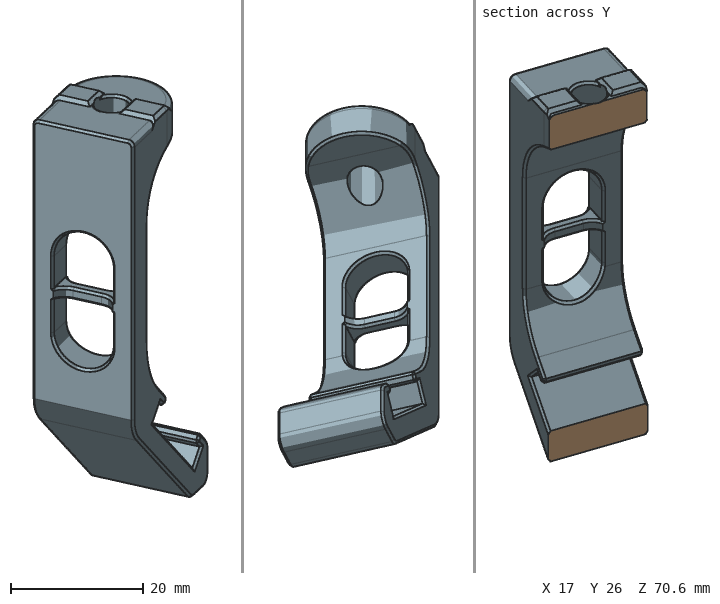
import cadquery as cq
import math

WIDTH = 17.0
REACH = 26.0
TOTAL_HEIGHT = 70.6
RIDGE_HEIGHT = 0.6
TOP = TOTAL_HEIGHT - RIDGE_HEIGHT
EDGE = 0.4
PICK_MARGIN = 0.1

HEAD_LENGTH = 20.0
HEAD_THICKNESS = 6.0
HEAD_RADIUS = WIDTH / 2
HEAD_CENTRE_Y = HEAD_LENGTH - HEAD_RADIUS
TOP_FILLET = 1.0
UPPER_ARC_RADIUS = 10.0
HEAD_DEPTH = HEAD_THICKNESS + UPPER_ARC_RADIUS

ARM_THICKNESS = 5.0
LOWER_ARC_RADIUS = 14.0

LEG_DROP = 49.85
LEG_START_Z = TOP - LEG_DROP
OUTER_BEND_RADIUS = 6.0
HOOK_RADIUS = 2.0
GROOVE_FLOOR = 4.0
LIP_INSIDE = 7.5
LIP_OUTSIDE = 9.1

GROOVE_CENTRE = 15.8
GROOVE_LENGTH = 20.2
LIP_LENGTH = 2.0

RIDGE_Y = 10.0
RIDGE_TOP_WIDTH = 3.8
RIDGE_GAP = 5.0
HOLE_DIAMETER = 5.4

SLOT_WIDTH = 10.0
SLOT_HEIGHT = 23.0
SLOT_DROP = 29.0
SLOT_CENTRE_Z = TOP - SLOT_DROP
BAR_HEIGHT = 2.0
BAR_THICKNESS = 2.0
BAR_POCKET_RADIUS = 3.0
BAR_FLAT_WIDTH = 4.8


def on_slope(along, across):
    """(y, z) of a point measured along the leg and inward from its outer face."""
    diagonal = math.sqrt(0.5)
    return ((along + across) * diagonal, LEG_START_Z + (across - along) * diagonal)


def slope_at_y(y, across):
    """(y, z) where a line parallel to the leg reaches the given y."""
    return (y, LEG_START_Z - y + across * math.sqrt(2))


def profile_edge(solid, point):
    """Select the profile edge that runs along X through (y, z)."""
    y, z = point
    picker = cq.selectors.BoxSelector(
        (-WIDTH, y - PICK_MARGIN, z - PICK_MARGIN),
        (WIDTH, y + PICK_MARGIN, z + PICK_MARGIN),
    )
    return solid.edges("|X").edges(picker)


def side_profile():
    """Full-width extrusion of the side outline, with its bends rounded."""
    groove_start = GROOVE_CENTRE - GROOVE_LENGTH / 2
    groove_end = GROOVE_CENTRE + GROOVE_LENGTH / 2
    upper_tip = groove_start + LIP_LENGTH
    lower_tip = groove_end - LIP_LENGTH

    head_inner = (ARM_THICKNESS, TOP - HEAD_THICKNESS)
    arm_bend = slope_at_y(ARM_THICKNESS, LIP_OUTSIDE)
    hook_shoulder = slope_at_y(REACH, LIP_OUTSIDE)
    hook_heel = (REACH, 0)
    leg_foot = (LEG_START_Z, 0)
    leg_bend = (0, LEG_START_Z)
    lip_tips = [
        on_slope(upper_tip, LIP_OUTSIDE),
        on_slope(upper_tip, LIP_INSIDE),
        on_slope(lower_tip, LIP_INSIDE),
        on_slope(lower_tip, LIP_OUTSIDE),
    ]
    outline = [
        (0, TOP),
        (HEAD_LENGTH, TOP),
        (HEAD_LENGTH, TOP - HEAD_THICKNESS),
        head_inner,
        arm_bend,
        lip_tips[0],
        lip_tips[1],
        on_slope(groove_start, LIP_INSIDE),
        on_slope(groove_start, GROOVE_FLOOR),
        on_slope(groove_end, GROOVE_FLOOR),
        on_slope(groove_end, LIP_INSIDE),
        lip_tips[2],
        lip_tips[3],
        hook_shoulder,
        hook_heel,
        leg_foot,
        leg_bend,
    ]
    solid = cq.Workplane("YZ").polyline(outline).close().extrude(WIDTH / 2, both=True)
    bends = [
        (head_inner, UPPER_ARC_RADIUS),
        (arm_bend, LOWER_ARC_RADIUS),
        (hook_shoulder, HOOK_RADIUS),
        (hook_heel, HOOK_RADIUS),
        (leg_foot, HOOK_RADIUS),
        (leg_bend, OUTER_BEND_RADIUS),
    ]
    for corner, radius in bends:
        solid = profile_edge(solid, corner).fillet(radius)
    for corner in lip_tips:
        solid = profile_edge(solid, corner).chamfer(EDGE)
    return solid


def round_head(solid):
    """Trim the end of the head, or of the ridge on it, to a half circle."""
    trim_depth = RIDGE_HEIGHT + HEAD_DEPTH
    corners = (
        cq.Workplane("XY", origin=(0, HEAD_CENTRE_Y, TOTAL_HEIGHT - trim_depth))
        .moveTo(-HEAD_RADIUS, 0)
        .threePointArc((0, HEAD_RADIUS), (HEAD_RADIUS, 0))
        .lineTo(WIDTH, 0)
        .lineTo(WIDTH, WIDTH)
        .lineTo(-WIDTH, WIDTH)
        .lineTo(-WIDTH, 0)
        .close()
        .extrude(trim_depth)
    )
    return solid.cut(corners)


def soften_edges(solid):
    """Fillet the side and end edges of the top, chamfer the other outer edges."""
    solid = solid.faces(">Z").edges("not(<Y)").fillet(TOP_FILLET)
    return solid.faces("<X or >X or <Y").edges().chamfer(EDGE)


def add_ridge(solid):
    """Ridge across the head, chamfered at both ends and open around the hole."""
    root_depth = RIDGE_HEIGHT + TOP_FILLET
    half_top = RIDGE_TOP_WIDTH / 2
    half_root = half_top + root_depth
    section = [
        (-half_top, 0),
        (half_top, 0),
        (half_root, -root_depth),
        (-half_root, -root_depth),
    ]
    ridge = (
        cq.Workplane("YZ", origin=(0, RIDGE_Y, TOTAL_HEIGHT))
        .polyline(section)
        .close()
        .extrude(WIDTH / 2, both=True)
    )
    ridge = round_head(ridge)
    ridge = ridge.faces(">Z").edges("not |X").chamfer(RIDGE_HEIGHT)

    gap_half_foot = RIDGE_GAP / 2
    gap_half_top = gap_half_foot + RIDGE_HEIGHT
    gap_section = [
        (-gap_half_top, RIDGE_HEIGHT),
        (gap_half_top, RIDGE_HEIGHT),
        (gap_half_foot, 0),
        (-gap_half_foot, 0),
    ]
    gap = (
        cq.Workplane("XZ", origin=(0, RIDGE_Y, TOP))
        .polyline(gap_section)
        .close()
        .extrude(WIDTH / 2, both=True)
    )
    return solid.union(ridge.cut(gap))


def cut_screw_hole(solid):
    """Vertical hole through the head; its chamfer stays between the ridge halves."""
    radius = HOLE_DIAMETER / 2
    rim_radius = radius + EDGE
    hole = (
        cq.Workplane("XY", origin=(0, RIDGE_Y, TOTAL_HEIGHT))
        .circle(radius)
        .extrude(-RIDGE_HEIGHT - HEAD_DEPTH)
    )
    rim = cq.Workplane("XY", origin=(0, RIDGE_Y, TOP))
    countersink = rim.circle(rim_radius).extrude(-EDGE, taper=45)
    between_ridges = rim.rect(RIDGE_GAP, 2 * rim_radius).extrude(-EDGE)
    return solid.cut(hole).cut(countersink.intersect(between_ridges))


def cut_slot(solid):
    """Round-ended slot through the arm and into its lower bend, chamfered all round."""
    slot = (
        cq.Workplane("XZ", origin=(0, 0, SLOT_CENTRE_Z))
        .slot2D(SLOT_HEIGHT, SLOT_WIDTH, 90)
        .extrude(-2 * ARM_THICKNESS)
    )
    solid = solid.cut(slot)
    half_width = SLOT_WIDTH / 2 + EDGE
    half_height = SLOT_HEIGHT / 2 + EDGE
    around_slot = cq.selectors.BoxSelector(
        (-half_width, -EDGE, SLOT_CENTRE_Z - half_height),
        (half_width, 2 * ARM_THICKNESS, SLOT_CENTRE_Z + half_height),
    )
    return solid.edges(around_slot).edges("not |Y").chamfer(EDGE)


def add_cross_bar(solid):
    """Bar across the slot, waisted in the middle, with chamfered edges."""
    pocket_width = BAR_FLAT_WIDTH + 2 * BAR_POCKET_RADIUS
    block_width = pocket_width + SLOT_WIDTH
    block_depth = BAR_THICKNESS + 2 * BAR_POCKET_RADIUS
    bar = cq.Workplane("XY").box(block_width, block_depth, BAR_HEIGHT)
    for side in (-1, 1):
        pocket_y = side * block_depth / 2
        pocket = (
            cq.Workplane("XY", origin=(0, pocket_y, 0))
            .slot2D(pocket_width, 2 * BAR_POCKET_RADIUS)
            .extrude(BAR_HEIGHT, both=True)
        )
        bar = bar.cut(pocket)
    bar = bar.faces("<Z or >Z").edges().chamfer(EDGE)

    slot_room = cq.Workplane("XY").box(SLOT_WIDTH + 2 * EDGE, ARM_THICKNESS, BAR_HEIGHT)
    bar = bar.intersect(slot_room).translate((0, ARM_THICKNESS / 2, SLOT_CENTRE_Z))
    return solid.union(bar)


result = side_profile()
result = round_head(result)
result = soften_edges(result)
result = add_ridge(result)
result = cut_screw_hole(result)
result = cut_slot(result)
result = add_cross_bar(result)